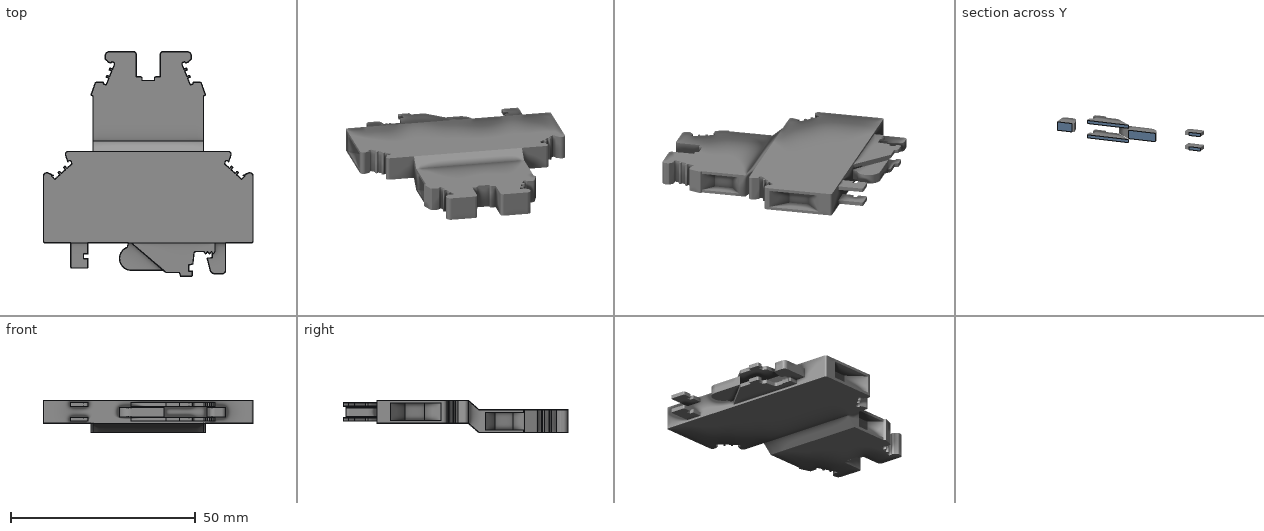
import cadquery as cq
import math


DECK_THICKNESS = 6.2
BODY_BOTTOM = 2.5
BODY_MID_Z = BODY_BOTTOM + DECK_THICKNESS / 2

BODY_HALF_WIDTH = 28.4
BODY_DEPTH = 24.75

DECK_HALF_WIDTH = 14.95
DECK_BACK_Y = 51.75
OVERALL_LENGTH = 60.85
WEB_END_Y = 27.6
SHOULDER_Y = 39.7
SLOT_HALF_WIDTH = 3.22
SLOT_FLOOR_Y = 44.94
SLOT_STEP_HALF_WIDTH = 1.66
SLOT_STEP_FLOOR_Y = 43.95

POCKET_WALL = 0.75
POCKET_HEIGHT = DECK_THICKNESS - 2 * POCKET_WALL
BODY_POCKET_DEPTH = 4.5
BODY_POCKET_Y = (17.39, 12.87, 7.64, 3.63)
DECK_POCKET_DEPTH = 3.4
DECK_POCKET_Y = (SHOULDER_Y, 36.84, 32.01, 29.4)

RIDGE_WIDTH = 0.55
RIDGE_HEIGHT = 0.75
RIDGE_ROOT = 0.2
BODY_RIDGE_DISTANCES = (2.1, 4.15)
DECK_RIDGE_DISTANCES = (2.2, 4.3)

PLATE_THICKNESS = 1.0
PLATE_SPACING = 4.05
TOOTH_PITCH = 1.0
CLIP_START_X = -4.6
LATCH_THICKNESS = 2.5
LATCH_BOTTOM = 4.23
FOOT_TIP_Y = DECK_BACK_Y - OVERALL_LENGTH
EMBED = 0.5


def rounded_prism(corners, bottom, height):
    """Extrude a closed outline of (x, y) or (x, y, corner radius) corners."""
    path = None
    count = len(corners)
    for i, corner in enumerate(corners):
        here = cq.Vector(corner[0], corner[1])
        radius = corner[2] if len(corner) == 3 else 0
        if radius:
            before = (cq.Vector(*corners[i - 1][:2]) - here).normalized()
            after = (cq.Vector(*corners[(i + 1) % count][:2]) - here).normalized()
            half_angle = before.getAngle(after) / 2
            setback = radius / math.tan(half_angle)
            to_arc = radius / math.sin(half_angle) - radius
            entry = here + before * setback
            middle = here + (before + after).normalized() * to_arc
            leave = here + after * setback
        else:
            entry = here
        if path is None:
            path = cq.Workplane("XY").workplane(offset=bottom).moveTo(entry.x, entry.y)
        else:
            path = path.lineTo(entry.x, entry.y)
        if radius:
            path = path.threePointArc((middle.x, middle.y), (leave.x, leave.y))
    return path.close().extrude(height)


def mirrored(half):
    """Join a left half with its mirror image across X = 0."""
    return half.union(half.mirror("YZ"))


def ridge(x, y, slope, bottom):
    """Small rib standing square on a groove flank inclined at slope degrees."""
    length = RIDGE_HEIGHT + RIDGE_ROOT
    rib = cq.Workplane("XY").box(RIDGE_WIDTH, length, DECK_THICKNESS, centered=(True, False, False))
    rib = rib.translate((0, -RIDGE_ROOT, bottom))
    return rib.rotate((0, 0, 0), (0, 0, 1), slope).translate((x, y, 0))


def ridges(groove_bottom, groove_top, distances, bottom):
    """Ribs at the given distances along the flank from groove_bottom to groove_top."""
    flank = cq.Vector(*groove_top) - cq.Vector(*groove_bottom)
    slope = math.degrees(math.atan2(flank.y, flank.x))
    ribs = cq.Workplane("XY")
    for distance in distances:
        base = cq.Vector(*groove_bottom) + flank.normalized() * distance
        ribs = ribs.add(ridge(base.x, base.y, slope, bottom))
    return ribs.combine()


def side_pocket(face_distance, depth, y_stations, bottom):
    """Left-side pocket with a flat floor between two inclined end walls."""
    floor_x = depth - face_distance
    x_stations = (-face_distance, floor_x, floor_x, -face_distance)
    corners = list(zip(x_stations, y_stations))
    return rounded_prism(corners, bottom + POCKET_WALL, POCKET_HEIGHT)


def main_body():
    groove_bottom = (-25.27, 17.21)
    groove_top = (-20.75, 21.3)
    half = rounded_prism(
        [
            (0, 0),
            (-BODY_HALF_WIDTH, 0, 0.5),
            (-BODY_HALF_WIDTH, 19.6, 1.0),
            (-25.7, 18.25),
            (-26.12, 18.08),
            groove_bottom,
            groove_top,
            (-20.8, 22.35, 0.5),
            (-21.5, 22.2),
            (-21.74, 21.88),
            (-22.78, BODY_DEPTH, 0.8),
            (0, BODY_DEPTH),
        ],
        BODY_BOTTOM,
        DECK_THICKNESS,
    )
    half = half.union(ridges(groove_bottom, groove_top, BODY_RIDGE_DISTANCES, BODY_BOTTOM))
    half = half.cut(side_pocket(BODY_HALF_WIDTH, BODY_POCKET_DEPTH, BODY_POCKET_Y, BODY_BOTTOM))
    return mirrored(half)


def upper_deck():
    groove_bottom = (-11.4, 42.76)
    groove_top = (-9.0, 48.68)
    half = rounded_prism(
        [
            (0, WEB_END_Y),
            (-DECK_HALF_WIDTH, WEB_END_Y),
            (-DECK_HALF_WIDTH, SHOULDER_Y),
            (-15.5, 39.98),
            (-14.3, 43.45, 0.4),
            (-12.2, 43.45),
            (-12.0, 42.95),
            groove_bottom,
            (*groove_top, 0.4),
            (-9.8, 48.95),
            (-10.2, 48.6),
            (-10.75, 48.85, 0.2),
            (-11.67, 49.75, 0.3),
            (-11.67, DECK_BACK_Y, 1.2),
            (-SLOT_HALF_WIDTH, DECK_BACK_Y, 0.8),
            (-SLOT_HALF_WIDTH, SLOT_FLOOR_Y),
            (-SLOT_STEP_HALF_WIDTH, SLOT_FLOOR_Y, 0.5),
            (-SLOT_STEP_HALF_WIDTH, SLOT_STEP_FLOOR_Y),
            (0, SLOT_STEP_FLOOR_Y),
        ],
        0,
        DECK_THICKNESS,
    )
    half = half.union(ridges(groove_bottom, groove_top, DECK_RIDGE_DISTANCES, 0))
    half = half.cut(side_pocket(DECK_HALF_WIDTH, DECK_POCKET_DEPTH, DECK_POCKET_Y, 0))
    return mirrored(half)


def sloping_web():
    """Slanted link between the upper deck and the raised main body."""
    profile = [
        (WEB_END_Y, 0),
        (BODY_DEPTH, BODY_BOTTOM),
        (BODY_DEPTH, BODY_BOTTOM + DECK_THICKNESS),
        (WEB_END_Y, DECK_THICKNESS),
    ]
    return cq.Workplane("YZ").polyline(profile).close().extrude(DECK_HALF_WIDTH, both=True)


def fixed_foot(bottom):
    """Notched rail foot plate on the left."""
    outer_x, inner_x = -20.98, -16.3
    tip_y = -6.85
    notch_x = -17.5
    notch_low_y, notch_high_y = -4.25, -3.0
    return rounded_prism(
        [
            (outer_x, EMBED),
            (outer_x, tip_y, 0.4),
            (inner_x, tip_y, 0.4),
            (inner_x, notch_low_y),
            (notch_x, notch_low_y),
            (notch_x, notch_high_y),
            (inner_x, notch_high_y),
            (inner_x, EMBED),
        ],
        bottom,
        PLATE_THICKNESS,
    )


def clip_foot(bottom):
    """Large rail foot plate with a rail seat and a row of small teeth."""
    seat_y = -2.4
    tooth_tip_y = -3.05
    first_tooth_x = 15.55
    outline = [
        (CLIP_START_X, 0),
        (4.75, -8.05),
        (8.4, -8.05),
        (8.75, FOOT_TIP_Y, 0.2),
        (11.96, FOOT_TIP_Y, 0.4),
        (11.96, -7.66),
        (10.99, -7.66),
        (10.99, -6.0),
        (12.1, -5.75, 0.2),
        (12.45, seat_y, 0.5),
        (first_tooth_x - TOOTH_PITCH / 2, seat_y),
    ]
    for i in range(3):
        tooth_x = first_tooth_x + i * TOOTH_PITCH
        outline += [(tooth_x, tooth_tip_y), (tooth_x + TOOTH_PITCH / 2, seat_y)]
    outline += [(outline[-1][0], EMBED), (CLIP_START_X, EMBED)]
    return rounded_prism(outline, bottom, PLATE_THICKNESS)


def latch():
    """Round-nosed release lever between the clip-foot plates."""
    nose_bottom_y = -7.45
    body = (
        cq.Workplane("XY")
        .workplane(offset=LATCH_BOTTOM)
        .moveTo(-5.4, EMBED)
        .lineTo(-5.4, 0)
        .lineTo(-5.7, -1.2)
        .threePointArc((-7.76, -4.7), (-4.8, nose_bottom_y))
        .lineTo(4.2, nose_bottom_y)
        .lineTo(CLIP_START_X, 0)
        .lineTo(CLIP_START_X, EMBED)
        .close()
    )
    return body.extrude(LATCH_THICKNESS)


def hook():
    """Solid rail hook on the right."""
    tip_y = -8.4
    outer_x, inner_x = 20.95, 17.25
    return rounded_prism(
        [
            (inner_x, EMBED),
            (inner_x, -4.0),
            (15.9, -4.1, 0.2),
            (17.0, tip_y, 1.4),
            (outer_x, tip_y, 1.0),
            (outer_x, EMBED),
        ],
        LATCH_BOTTOM,
        LATCH_THICKNESS,
    )


result = main_body().union(sloping_web()).union(upper_deck())
for side in (-1, 1):
    plate_bottom = BODY_MID_Z + (side * PLATE_SPACING - PLATE_THICKNESS) / 2
    result = result.union(fixed_foot(plate_bottom)).union(clip_foot(plate_bottom))
result = result.union(latch()).union(hook())